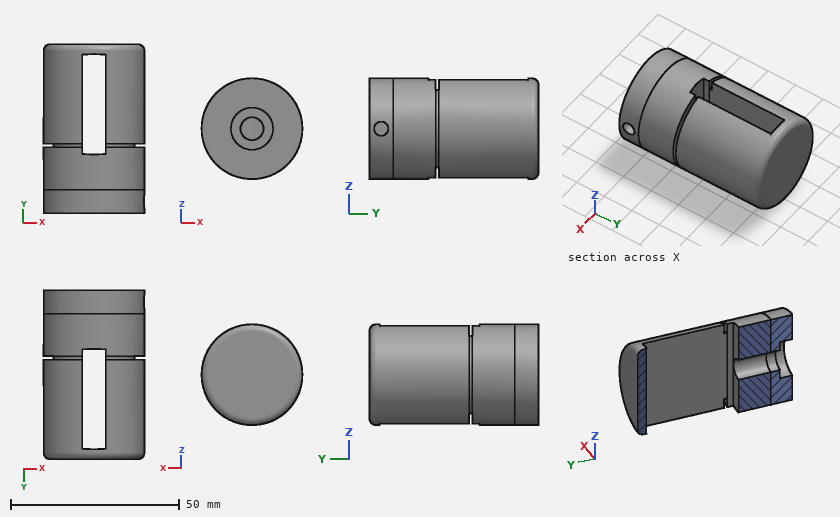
import cadquery as cq

outer_diameter = 30.0
total_length = 50.25
outer_radius = outer_diameter / 2

cap_length = 7.05
gap_start = 19.65
gap_width = 1.0
gap_end = gap_start + gap_width
rear_rounding = 2.0

neck_diameter = 24.1

bore_diameter = 6.8
counterbore_diameter = 12.5
counterbore_depth = 4.0

set_screw_diameter = 4.2
set_screw_depth = 5.0
set_screw_position = cap_length / 2

slot_width = 6.95
slot_start = 17.65
slot_end = 47.1
slot_end_point = 0.15


def cylinder(diameter, start, end):
    """Solid cylinder around the Y axis from Y = start to Y = end."""
    section = cq.Workplane("XZ", origin=(0, start, 0)).circle(diameter / 2)
    return section.extrude(start - end)


def slot_cutter():
    """Prism along Z that cuts the slot; each end is a shallow V pointing outwards."""
    half_width = slot_width / 2
    outline = [
        (-half_width, slot_start),
        (0, slot_start - slot_end_point),
        (half_width, slot_start),
        (half_width, slot_end),
        (0, slot_end + slot_end_point),
        (-half_width, slot_end),
    ]
    return cq.Workplane("XY").polyline(outline).close().extrude(outer_radius, both=True)


def make_cap():
    """End cap with the counterbored axial hole and the set screw hole."""
    body = cylinder(outer_diameter, 0, cap_length)
    counterbore = cylinder(counterbore_diameter, 0, counterbore_depth)
    bore = cylinder(bore_diameter, 0, cap_length)
    set_screw_hole = (
        cq.Workplane("YZ", origin=(outer_radius, set_screw_position, 0))
        .circle(set_screw_diameter / 2)
        .extrude(-set_screw_depth)
    )
    return body.cut(counterbore).cut(bore).cut(set_screw_hole).solids()


def make_front_barrel():
    """Barrel behind the cap; the bore opens into its part of the slot."""
    body = cylinder(outer_diameter, cap_length, gap_start)
    bore = cylinder(bore_diameter, cap_length, gap_start)
    return body.cut(bore).cut(slot_cutter()).solids()


def make_rear_barrel():
    """Slotted barrel with a rounded rear rim and a neck that meets the front barrel."""
    body = cylinder(outer_diameter, gap_end, total_length).faces(">Y").edges().fillet(rear_rounding)
    neck = cylinder(neck_diameter, gap_start, gap_end)
    return body.union(neck).cut(slot_cutter()).solids()


cap = make_cap()
front_barrel = make_front_barrel()
rear_barrel = make_rear_barrel()

result = cq.Compound.makeCompound([cap.val(), front_barrel.val(), rear_barrel.val()])